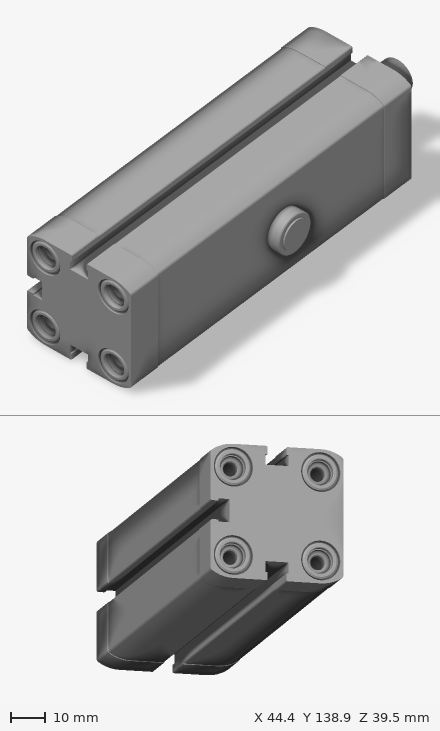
import cadquery as cq
import math

total_length = 138.9
housing_length = 122.4
cap_length = 11.8

cap_width = 39.5
barrel_inset = 0.21
bolt_spacing = 26.0
bolt_offset = bolt_spacing / 2
corner_radius = 11.1
corner_fillet = 1.0

slot_floor = 14.2
slot_lip = 17.4
slot_neck_width = 5.5
slot_chamber_width = 6.8
slot_mouth_chamfer = 0.3
cut_margin = 1.4
slot_angles = (0, 90, 180)

bolt_recess_diameter = 11.7
bolt_recess_depth = 1.4
bolt_head_diameter = 10.5
bolt_face_diameter = 9.6
bolt_head_chamfer_depth = 0.4
bolt_head_sink = 0.1
socket_rim_diameter = 8.0
socket_diameter = 7.6
socket_depth = 1.7
inner_socket_diameter = 7.1
inner_socket_depth = 3.0
bolt_hole_rim_diameter = 4.9
bolt_hole_diameter = 4.2

rod_diameter = 12.0
rod_tip_diameter = 11.5
rod_tip_length = 7.2
flat_width = 10.0
flat_length = 6.0
flat_start = 8.5

plug_diameter = 14.0
plug_rim_chamfer = 0.3
plug_end_diameter = 10.5
plug_end_height = 0.5
plug_end_x = 24.6
plug_y = 66.5


def section_block(width, y_start, length):
    """Block along Y with flat sides and arched corners."""
    half = width / 2
    arc_centre_z = half - corner_radius

    def arc_z(x):
        return arc_centre_z + math.sqrt(corner_radius**2 - (x - bolt_offset) ** 2)

    mid_x = (bolt_offset + half) / 2
    side_z = arc_z(half)
    mid_z = arc_z(mid_x)
    block = (
        cq.Workplane("XZ", origin=(0, y_start, 0))
        .moveTo(-bolt_offset, half)
        .lineTo(bolt_offset, half)
        .threePointArc((mid_x, mid_z), (half, side_z))
        .lineTo(half, -side_z)
        .threePointArc((mid_x, -mid_z), (bolt_offset, -half))
        .lineTo(-bolt_offset, -half)
        .threePointArc((-mid_x, -mid_z), (-half, -side_z))
        .lineTo(-half, side_z)
        .threePointArc((-mid_x, mid_z), (-bolt_offset, half))
        .close()
        .extrude(-length)
    )
    return block.edges("|Y and (<X or >X)").fillet(corner_fillet)


def slot_cutter(width, y_start, length):
    """T-shaped slot in the top face, with a chamfered mouth at the face of a block this wide."""
    face = width / 2
    neck = slot_neck_width / 2
    chamber = slot_chamber_width / 2
    mouth = neck + slot_mouth_chamfer
    right_side = [
        (chamber, slot_floor),
        (chamber, slot_lip),
        (neck, slot_lip),
        (neck, face - slot_mouth_chamfer),
        (mouth, face),
        (mouth, face + cut_margin),
    ]
    left_side = [(-x, z) for x, z in reversed(right_side)]
    return (
        cq.Workplane("XZ", origin=(0, y_start, 0))
        .polyline(right_side + left_side)
        .close()
        .extrude(-length)
    )


def slotted_block(width, y_start, length):
    block = section_block(width, y_start, length)
    slot = slot_cutter(width, y_start, length)
    for angle in slot_angles:
        block = block.cut(slot.rotate((0, 0, 0), (0, 1, 0), -angle))
    return block


def bolt_recess():
    """Material removed around and through one hollow bolt, centred on the Y axis."""
    face_y = bolt_head_sink
    socket_step = face_y + socket_depth
    socket_floor = face_y + inner_socket_depth
    rim_depth = (socket_rim_diameter - socket_diameter) / 2
    hole_rim_depth = (bolt_hole_rim_diameter - bolt_hole_diameter) / 2
    outline = [
        (0, 0),
        (bolt_recess_diameter / 2, 0),
        (bolt_recess_diameter / 2, bolt_recess_depth),
        (bolt_head_diameter / 2, bolt_recess_depth),
        (bolt_head_diameter / 2, face_y + bolt_head_chamfer_depth),
        (bolt_face_diameter / 2, face_y),
        (socket_rim_diameter / 2, face_y),
        (socket_diameter / 2, face_y + rim_depth),
        (socket_diameter / 2, socket_step),
        (inner_socket_diameter / 2, socket_step),
        (inner_socket_diameter / 2, socket_floor),
        (bolt_hole_rim_diameter / 2, socket_floor),
        (bolt_hole_diameter / 2, socket_floor + hole_rim_depth),
        (bolt_hole_diameter / 2, housing_length),
        (0, housing_length),
    ]
    return cq.Workplane("XY").polyline(outline).close().revolve(360, (0, 0, 0), (0, 1, 0))


def make_housing():
    rear_cap_y = housing_length - cap_length
    housing = slotted_block(cap_width - 2 * barrel_inset, cap_length, rear_cap_y - cap_length)
    for y_start in (0, rear_cap_y):
        housing = housing.union(slotted_block(cap_width, y_start, cap_length))
    recess = bolt_recess()
    for x in (-bolt_offset, bolt_offset):
        for z in (-bolt_offset, bolt_offset):
            housing = housing.cut(recess.translate((x, 0, z)))
    return housing


def make_rod():
    radius = rod_diameter / 2
    tip_radius = rod_tip_diameter / 2
    tip_start = total_length - rod_tip_length
    rod = (
        cq.Workplane("XY")
        .moveTo(0, housing_length)
        .lineTo(radius, housing_length)
        .lineTo(radius, tip_start)
        .lineTo(tip_radius, total_length)
        .lineTo(0, total_length)
        .close()
        .revolve(360, (0, 0, 0), (0, 1, 0))
    )
    flat_x = flat_width / 2
    run_out = radius - flat_x
    flat_top = total_length - flat_start
    flat_bottom = flat_top - flat_length
    notch = (
        cq.Workplane("XY", origin=(0, 0, -radius))
        .moveTo(flat_x, flat_bottom)
        .lineTo(flat_x, flat_top)
        .lineTo(flat_x + run_out, flat_top + run_out)
        .lineTo(flat_x + run_out, flat_bottom - run_out)
        .close()
        .extrude(rod_diameter)
    )
    return rod.cut(notch).cut(notch.mirror("YZ"))


def make_side_plug():
    barrel_x = cap_width / 2 - barrel_inset
    seat_x = cap_width / 2
    shoulder_x = plug_end_x - plug_end_height
    radius = plug_diameter / 2
    end_radius = plug_end_diameter / 2
    outline = [
        (barrel_x, 0),
        (barrel_x, end_radius),
        (seat_x, end_radius),
        (seat_x, radius),
        (shoulder_x - plug_rim_chamfer, radius),
        (shoulder_x, radius - plug_rim_chamfer),
        (shoulder_x, end_radius),
        (plug_end_x, end_radius),
        (plug_end_x, 0),
    ]
    plug = cq.Workplane("XY").polyline(outline).close().revolve(360, (0, 0, 0), (1, 0, 0))
    return plug.translate((0, plug_y, 0))


housing = make_housing()
rod = make_rod()
side_plug = make_side_plug()

result = cq.Compound.makeCompound([housing.val(), rod.val(), side_plug.val()])